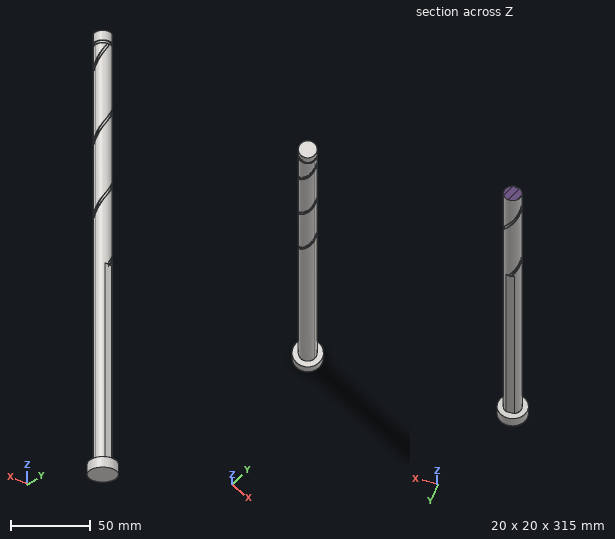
import cadquery as cq

total_length = 315.0
flange_diameter = 20.0
flange_thickness = 7.5
shaft_diameter = 12.0
shaft_radius = shaft_diameter / 2

head_length = 7.0
neck_width = 2.0
neck_diameter = 10.5

helix_turns = 3
helix_pitch = 52.5
helix_height = helix_turns * helix_pitch
helix_top = total_length - head_length - neck_width
helix_bottom = helix_top - helix_height
groove_height = 2.8
groove_depth = 0.5
cut_clearance = 0.5
start_angle = 90

flat_depth = 0.5


def make_pin():
    flange = cq.Workplane("XY").circle(flange_diameter / 2).extrude(flange_thickness)
    shaft = cq.Workplane("XY").circle(shaft_radius).extrude(total_length)
    return flange.union(shaft)


def make_neck_cutter():
    neck = cq.Workplane("XY", origin=(0, 0, helix_top))
    return neck.circle(flange_diameter / 2).circle(neck_diameter / 2).extrude(neck_width)


def make_helical_cutter():
    floor_radius = shaft_radius - groove_depth
    section_depth = groove_depth + cut_clearance
    path = cq.Wire.makeHelix(helix_pitch, helix_height, floor_radius)
    section = cq.Workplane("XZ").center(floor_radius + section_depth / 2, 0)
    groove = section.rect(section_depth, groove_height).sweep(cq.Workplane(obj=path), isFrenet=True)
    return groove.rotate((0, 0, 0), (0, 0, 1), start_angle).translate((0, 0, helix_bottom))


def make_flat_cutter():
    flat = cq.Workplane("XY", origin=(0, shaft_radius - flat_depth, flange_thickness))
    return flat.box(
        shaft_diameter,
        shaft_diameter,
        helix_bottom - flange_thickness,
        centered=(True, False, False),
    )


result = make_pin().cut(make_neck_cutter()).cut(make_helical_cutter()).cut(make_flat_cutter())